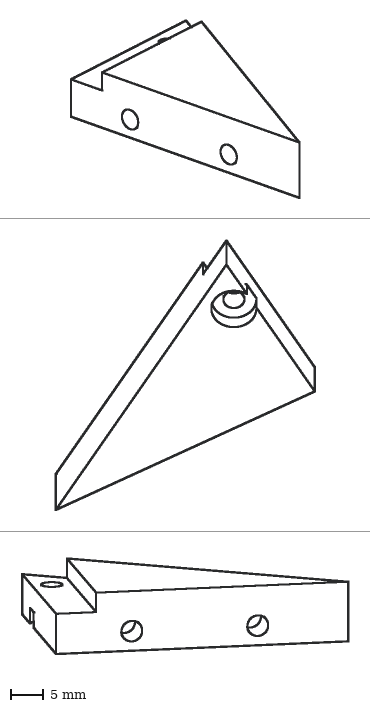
import cadquery as cq

length = 46.35
width = 28.0
height = 9.55

ledge_width = 6.35
ledge_drop = 3.1

ledge_hole_diameter = 3.3
ledge_hole_x = ledge_width / 2
ledge_hole_y = 20.02
counterbore_diameter = 7.0
counterbore_depth = 2.5

side_hole_diameter = 3.3
side_hole_depth = 6.0
side_hole_z = 3.15
first_side_hole_x = 12.0
side_hole_spacing = 20.0


def wedge():
    corners = [(0, 0), (length, 0), (0, width)]
    return cq.Workplane("XY").polyline(corners).close().extrude(height)


def ledge_cut():
    ledge_z = height - ledge_drop
    block = cq.Workplane("XY").box(ledge_width, width, ledge_drop, centered=False)
    return block.translate((0, 0, ledge_z))


def ledge_hole():
    center = (ledge_hole_x, ledge_hole_y)
    return cq.Workplane("XY").moveTo(*center).circle(ledge_hole_diameter / 2).extrude(height)


def counterbore():
    """Recess on the underside, wide enough to break through the short side."""
    center = (ledge_hole_x, ledge_hole_y)
    return cq.Workplane("XY").moveTo(*center).circle(counterbore_diameter / 2).extrude(counterbore_depth)


def side_holes():
    centers = [(first_side_hole_x + i * side_hole_spacing, side_hole_z) for i in range(2)]
    return cq.Workplane("XZ").pushPoints(centers).circle(side_hole_diameter / 2).extrude(-side_hole_depth)


result = wedge().cut(ledge_cut()).cut(ledge_hole()).cut(counterbore()).cut(side_holes())